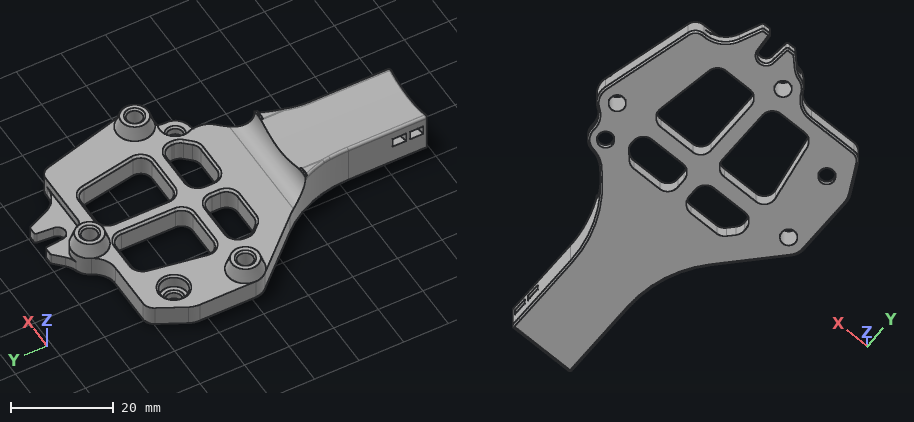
import cadquery as cq
import math


plate_height = 5.0
plate_top_y = 71.05
diagonal_angle = 42.6
flank_angle = 14.7
corner_cut_angle = 27.5
corner_cut_y = 62.8
corner_cut_radius = 5.0
top_corner_radius = 2.5
edge_break = 0.5
bottom_chamfer = 0.4

boss_base_radius = 4.0
boss_top_radius = 3.0
boss_height = 8.0
boss_spacing = 43.65
side_boss_y = 49.1
left_boss = (-boss_spacing / 2, side_boss_y)
right_boss = (boss_spacing / 2, side_boss_y)
top_boss = (-1.0, 72.2)
top_boss_blends = (5.0, 3.0)
screw_diameter = 3.4
hole_chamfer = 0.4

counterbore_center = (-19.3, 63.7)
counterbore_diameter = 6.0
counterbore_depth = 3.0

handle_width = 15.0
handle_height = 9.5
handle_shoulder_y = 28.9
shoulder_radius = 4.2
flare_radius = 25.0
groove_bottom = 8.0
groove_half_width = 7.6
lip_height = 9.73
lip_length = 0.5
lip_peak_x = 8.9

tunnel_cover = 2.5
tunnel_thickness = 2.0
tunnel_width = 3.0
tunnel_starts = (1.0, 4.9)

window_inner_x = 1.5
window_radius = 2.5
upper_window_y = (50.75, 67.9)
upper_window_outer_x = (15.1, 12.1)
lower_window_y = (40.7, 47.6)
lower_window_outer_x = 14.3
lower_window_cut_y = 43.6
selection_margin = 0.1

tab_height = 3.0
tab_top_y = 79.34
tab_left_x = 1.9
tab_right_x = 10.1
tab_right_angle = 24.0
tab_root_end_x = 18.0
tab_left_angle = 45.0
tab_right_blend = 6.0
tab_left_blend = 5.0
tab_tip_radius = 0.5
notch_x = 6.0
notch_width = 3.4
notch_mouth_width = 4.1
notch_center_y = 75.4

ear_center = (18.65, 41.8)
ear_radius = 3.5
ear_height = 2.0
ear_upper_blend = 4.0
ear_lower_blend = 6.0
ear_recess_blend = 5.0


def direction(angle):
    """Unit vector at an angle from +Y, turning toward +X."""
    return math.sin(math.radians(angle)), math.cos(math.radians(angle))


def shifted(point, vector, distance):
    return point[0] + distance * vector[0], point[1] + distance * vector[1]


def crossing(point_a, dir_a, point_b, dir_b):
    """Intersection of two lines, each given by a point and a direction."""
    determinant = dir_a[0] * dir_b[1] - dir_a[1] * dir_b[0]
    gap = (point_b[0] - point_a[0], point_b[1] - point_a[1])
    return shifted(point_a, dir_a, (gap[0] * dir_b[1] - gap[1] * dir_b[0]) / determinant)


def unit(start, end):
    length = math.dist(start, end)
    return (end[0] - start[0]) / length, (end[1] - start[1]) / length


def circle_crossing(center_a, radius_a, center_b, radius_b):
    """Crossing of two circles on the right-hand side of the way from a to b."""
    distance = math.dist(center_a, center_b)
    along = (distance**2 + radius_a**2 - radius_b**2) / (2 * distance)
    forward = unit(center_a, center_b)
    right_hand = (forward[1], -forward[0])
    return shifted(shifted(center_a, forward, along), right_hand, math.sqrt(radius_a**2 - along**2))


def rounded_prism(corners, height):
    """Prism from Z = 0 over sharp corners (point, radius), each rounded by its radius."""
    outline = cq.Workplane("XY")
    for index, (point, radius) in enumerate(corners):
        to_previous = unit(point, corners[index - 1][0])
        to_next = unit(point, corners[(index + 1) % len(corners)][0])
        cosine = to_previous[0] * to_next[0] + to_previous[1] * to_next[1]
        half_angle = math.acos(cosine) / 2
        setback = radius / math.tan(half_angle)
        arc_start = shifted(point, to_previous, setback)
        arc_end = shifted(point, to_next, setback)
        bisector = unit((0, 0), (to_previous[0] + to_next[0], to_previous[1] + to_next[1]))
        arc_middle = shifted(point, bisector, radius / math.sin(half_angle) - radius)
        if index == 0:
            outline = outline.moveTo(*arc_start)
        else:
            outline = outline.lineTo(*arc_start)
        if radius > 0:
            outline = outline.threePointArc(arc_middle, arc_end)
    return outline.close().extrude(height)


def disc(center, radius, height, base=0.0):
    return cq.Workplane("XY", origin=(*center, base)).circle(radius).extrude(height)


def round_upright(body, point, height, radius):
    """Fillet the vertical edge nearest to a plan point at the given height."""
    nearest = cq.selectors.NearestToPointSelector((*point, height))
    return body.edges("|Z").edges(nearest).fillet(radius)


diagonal = direction(diagonal_angle)
diagonal_normal = (diagonal[1], -diagonal[0])
diagonal_point = shifted(right_boss, diagonal_normal, boss_base_radius)
half_width = handle_width / 2
groove_depth = handle_height - groove_bottom
groove_radius = (groove_half_width**2 + groove_depth**2) / (2 * groove_depth)
groove_axis_z = groove_bottom + groove_radius


def body_blank():
    """Plate and handle outline, extruded to the full handle height."""
    y_axis = (0, 1)
    x_axis = (1, 0)
    left_x = left_boss[0] - boss_base_radius
    flank = direction(-flank_angle)
    flank_point = shifted(right_boss, (flank[1], -flank[0]), boss_base_radius)
    right_neck = crossing((half_width, 0), y_axis, diagonal_point, diagonal)
    right_corner = crossing(diagonal_point, diagonal, flank_point, flank)
    top_right = crossing(flank_point, flank, (0, plate_top_y), x_axis)
    cut_low = (left_x, corner_cut_y)
    cut_high = crossing(cut_low, direction(corner_cut_angle), (0, plate_top_y), x_axis)
    left_neck = (-right_neck[0], right_neck[1])
    left_diagonal = (-diagonal[0], diagonal[1])
    left_corner = crossing(left_neck, left_diagonal, cut_low, y_axis)
    corners = [
        ((-half_width, 0), 0),
        ((half_width, 0), 0),
        (right_neck, flare_radius),
        (right_corner, boss_base_radius),
        (top_right, top_corner_radius),
        (cut_high, top_corner_radius),
        (cut_low, corner_cut_radius),
        (left_corner, boss_base_radius),
        (left_neck, flare_radius),
    ]
    return rounded_prism(corners, handle_height)


def shape_handle(body):
    """Step down to the plate, scoop the thumb groove and round its rim."""
    reach = boss_spacing
    step = (
        cq.Workplane("YZ", origin=(-reach, 0, 0))
        .moveTo(handle_shoulder_y, handle_height + 1)
        .lineTo(handle_shoulder_y, plate_height + shoulder_radius)
        .radiusArc((handle_shoulder_y + shoulder_radius, plate_height), -shoulder_radius)
        .lineTo(tab_top_y, plate_height)
        .lineTo(tab_top_y, handle_height + 1)
        .close()
        .extrude(2 * reach)
    )
    groove_length = handle_shoulder_y + shoulder_radius
    groove = (
        cq.Workplane("XZ", origin=(0, -1, 0))
        .center(0, groove_axis_z)
        .circle(groove_radius)
        .extrude(-groove_length)
    )
    body = body.cut(step).cut(groove)
    rim_zone = cq.selectors.BoxSelector(
        (-reach, -1, groove_bottom - edge_break),
        (reach, handle_shoulder_y - lip_length, handle_height + 1),
    )
    return body.edges(rim_zone).add(body.edges("|Z and <Y")).fillet(edge_break)


def shoulder_lip(side):
    """Low ridge along the shoulder, outside the groove."""
    outer_x = 2 * lip_peak_x - half_width
    ridge = (
        cq.Workplane("XZ", origin=(0, handle_shoulder_y, 0))
        .moveTo(side * half_width, handle_height)
        .lineTo(side * lip_peak_x, lip_height)
        .lineTo(side * outer_x, handle_height)
        .close()
        .extrude(lip_length)
    )
    return ridge.intersect(body_blank().translate((0, 0, edge_break)))


def strap_tunnel(start_y):
    roof_radius = groove_radius + tunnel_cover
    ring = (
        cq.Workplane("XZ", origin=(0, start_y, 0))
        .center(0, groove_axis_z)
        .circle(roof_radius + tunnel_thickness)
        .circle(roof_radius)
        .extrude(-tunnel_width)
    )
    window = cq.Workplane("XY").box(2 * handle_width, handle_width, groove_bottom, centered=(True, False, False))
    return ring.intersect(window)


def add_top_boss_pad(body):
    """Plate lobe that carries the top boss, blended into the top edge."""
    body = body.union(disc(top_boss, boss_base_radius, plate_height))
    half_chord = math.sqrt(boss_base_radius**2 - (top_boss[1] - plate_top_y)**2)
    for side, blend in zip((-1, 1), top_boss_blends):
        meeting = (top_boss[0] + side * half_chord, plate_top_y)
        body = round_upright(body, meeting, plate_height / 2, blend)
    return body


def notched_tab():
    """Low tab behind the top boss with an open, slightly flared notch."""
    x_axis = (1, 0)
    root_y = top_boss[1] - boss_base_radius
    right_tip = (tab_right_x, tab_top_y)
    right_root = crossing(right_tip, direction(-tab_right_angle), (0, plate_top_y), x_axis)
    left_tip = (tab_left_x, tab_top_y)
    left_root = crossing(left_tip, direction(tab_left_angle), top_boss, x_axis)
    corners = [
        (left_tip, tab_tip_radius),
        (right_tip, tab_tip_radius),
        (right_root, tab_right_blend),
        ((tab_root_end_x, plate_top_y), 0),
        ((tab_root_end_x, root_y), 0),
        ((top_boss[0], root_y), 0),
        (top_boss, 0),
        (left_root, 0),
    ]
    tab = rounded_prism(corners, tab_height).union(disc(top_boss, boss_base_radius, tab_height))
    meeting = (top_boss[0], top_boss[1] + boss_base_radius)
    tab = round_upright(tab, meeting, tab_height / 2, tab_left_blend)
    notch = (
        cq.Workplane("XY")
        .moveTo(notch_x - notch_width / 2, notch_center_y)
        .threePointArc((notch_x, notch_center_y - notch_width / 2), (notch_x + notch_width / 2, notch_center_y))
        .lineTo(notch_x + notch_mouth_width / 2, tab_top_y)
        .lineTo(notch_x - notch_mouth_width / 2, tab_top_y)
        .close()
        .extrude(tab_height)
    )
    tab = tab.cut(notch)
    for side in (-1, 1):
        mouth = (notch_x + side * notch_mouth_width / 2, tab_top_y)
        tab = round_upright(tab, mouth, tab_height / 2, tab_tip_radius)
    return tab


def clear_ear_side(body):
    """Trim the plate to the right boss radius between the boss and the ear."""
    boss_x, boss_y = right_boss
    room = (
        cq.Workplane("XY")
        .moveTo(*ear_center)
        .lineTo(ear_center[0], boss_y - boss_base_radius)
        .lineTo(boss_x, boss_y - boss_base_radius)
        .lineTo(boss_x, boss_y)
        .lineTo(boss_x + boss_base_radius, boss_y)
        .lineTo(boss_x + boss_base_radius, ear_center[1])
        .close()
        .extrude(plate_height)
    )
    return body.cut(room.cut(disc(right_boss, boss_base_radius, plate_height)))


def add_ear(body):
    """Low ear on the right diagonal, with the plate above it cleared away."""
    offset = (ear_center[0] - diagonal_point[0], ear_center[1] - diagonal_point[1])
    depth = -(offset[0] * diagonal_normal[0] + offset[1] * diagonal_normal[1])
    foot = shifted(ear_center, diagonal_normal, depth)
    half_chord = math.sqrt(ear_radius**2 - depth**2)
    meeting = shifted(foot, diagonal, -half_chord)

    recess_height = plate_height - ear_height
    body = clear_ear_side(body)
    body = body.cut(disc(ear_center, ear_radius, recess_height, ear_height))
    body = round_upright(body, meeting, ear_height + recess_height / 2, ear_recess_blend)

    root_start = shifted(foot, diagonal, -2 * boss_base_radius)
    root = [
        (root_start, 0),
        (foot, 0),
        (shifted(foot, diagonal_normal, -ear_radius), 0),
        (shifted(root_start, diagonal_normal, -ear_radius), 0),
    ]
    ear = disc(ear_center, ear_radius, ear_height).union(rounded_prism(root, ear_height))
    ear = round_upright(ear, meeting, ear_height / 2, ear_lower_blend)

    blend_center = circle_crossing(
        ear_center, ear_radius + ear_upper_blend, right_boss, boss_base_radius + ear_upper_blend
    )
    inner_corner = (ear_center[0], right_boss[1])
    bridge_points = (ear_center, blend_center, right_boss, inner_corner)
    bridge = rounded_prism([(point, 0) for point in bridge_points], ear_height)
    bridge = bridge.cut(disc(blend_center, ear_upper_blend, ear_height))
    return body.union(ear).union(bridge)


def windows(side):
    """Upper and lower window on one side of the centre web."""
    upper = [
        (window_inner_x, upper_window_y[0]),
        (window_inner_x, upper_window_y[1]),
        (upper_window_outer_x[1], upper_window_y[1]),
        (upper_window_outer_x[0], upper_window_y[0]),
    ]
    cut_rise = lower_window_cut_y - lower_window_y[0]
    cut_run = cut_rise * math.tan(math.radians(diagonal_angle))
    lower = [
        (window_inner_x, lower_window_y[0]),
        (window_inner_x, lower_window_y[1]),
        (lower_window_outer_x, lower_window_y[1]),
        (lower_window_outer_x, lower_window_cut_y),
        (lower_window_outer_x - cut_run, lower_window_y[0]),
    ]
    return [
        rounded_prism([((side * x, y), window_radius) for x, y in outline], plate_height)
        for outline in (upper, lower)
    ]


def chamfer_windows(body):
    """Chamfer the upper edges of all four windows."""
    outer_x = upper_window_outer_x[0] + selection_margin
    window_zone = cq.selectors.BoxSelector(
        (-outer_x, lower_window_y[0] - selection_margin, plate_height - selection_margin),
        (outer_x, upper_window_y[1] + selection_margin, plate_height + selection_margin),
    )
    return body.edges(window_zone).chamfer(edge_break)


def boss(center):
    """Conical boss standing on the plate."""
    return (
        cq.Workplane("XY", origin=(*center, plate_height))
        .circle(boss_base_radius)
        .workplane(offset=boss_height - plate_height)
        .circle(boss_top_radius)
        .loft()
    )


def hole(center, diameter, top, bottom=0.0):
    """Hole cutter with a chamfered mouth at the given height."""
    radius = diameter / 2
    mouth = (
        cq.Workplane("XY", origin=(*center, top - hole_chamfer))
        .circle(radius)
        .workplane(offset=hole_chamfer)
        .circle(radius + hole_chamfer)
        .loft()
    )
    return disc(center, radius, top - bottom, bottom).union(mouth)


def screw_hole(center, top):
    return hole(center, screw_diameter, top)


body = shape_handle(body_blank())
body = add_top_boss_pad(body)
body = add_ear(body)
body = body.union(notched_tab())
body = body.faces("<Z").chamfer(bottom_chamfer)

for side in (-1, 1):
    body = body.union(shoulder_lip(side))
    for window in windows(side):
        body = body.cut(window)
body = chamfer_windows(body)

for center in (left_boss, right_boss, top_boss):
    body = body.union(boss(center)).cut(screw_hole(center, boss_height))

counterbore_floor = plate_height - counterbore_depth
body = body.cut(hole(counterbore_center, counterbore_diameter, plate_height, counterbore_floor))
body = body.cut(screw_hole(counterbore_center, counterbore_floor))
body = body.cut(screw_hole(ear_center, ear_height))
for start_y in tunnel_starts:
    body = body.cut(strap_tunnel(start_y))

result = body